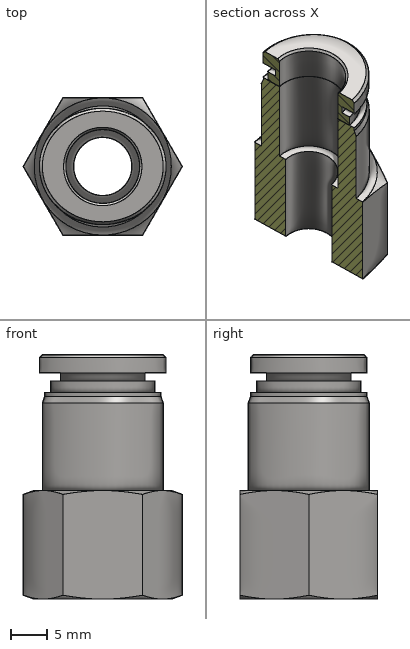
import cadquery as cq
import math

total_height = 33.7
hex_height = 15.0
housing_top = 28.5
taper_top = 27.95
taper_bottom = 27.03
flange_top = 30.1
head_height = 2.5
head_bottom = total_height - head_height

across_flats = 19.0
across_corners = across_flats / math.cos(math.radians(30))
hex_chamfer_diameter = 18.9
hex_chamfer_angle = 20.0
barrel_diameter = 16.7
lip_diameter = 16.05
tube_socket_diameter = 10.15
tube_seat_z = hex_height
through_diameter = 8.0

head_length_x = 17.45
head_length_y = 16.05
head_chamfer = 0.4
neck_diameter = 11.7
flange_diameter = 14.4
sleeve_bore_diameter = 10.2
bore_chamfer = 0.3


def cylinder(diameter, bottom, top):
    return cq.Workplane("XY").workplane(offset=bottom).circle(diameter / 2).extrude(top - bottom)


def make_hexagon():
    """Hexagonal base with conical chamfers on the corners of both ends."""
    corner_radius = across_corners / 2
    chamfer_radius = hex_chamfer_diameter / 2
    chamfer_drop = (corner_radius - chamfer_radius) * math.tan(math.radians(hex_chamfer_angle))
    prism = cq.Workplane("XY").polygon(6, across_corners).extrude(hex_height)
    double_cone = (
        cq.Workplane("XZ")
        .moveTo(0, 0)
        .lineTo(chamfer_radius, 0)
        .lineTo(corner_radius, chamfer_drop)
        .lineTo(corner_radius, hex_height - chamfer_drop)
        .lineTo(chamfer_radius, hex_height)
        .lineTo(0, hex_height)
        .close()
        .revolve(360, (0, 0, 0), (0, 1, 0))
    )
    return prism.intersect(double_cone)


def make_barrel():
    """Round barrel that tapers up to a narrower lip."""
    return (
        cq.Workplane("XZ")
        .moveTo(0, 0)
        .lineTo(barrel_diameter / 2, 0)
        .lineTo(barrel_diameter / 2, taper_bottom)
        .lineTo(lip_diameter / 2, taper_top)
        .lineTo(lip_diameter / 2, housing_top)
        .lineTo(0, housing_top)
        .close()
        .revolve(360, (0, 0, 0), (0, 1, 0))
    )


def make_housing():
    """Hexagon and barrel with a tube socket above a narrower through hole."""
    tube_socket = cylinder(tube_socket_diameter, tube_seat_z, housing_top)
    through_hole = cylinder(through_diameter, 0, housing_top)
    return make_hexagon().union(make_barrel()).cut(tube_socket).cut(through_hole)


def make_release_sleeve():
    """Oval push head on a round neck, with a flange resting on the housing."""
    head = (
        cq.Workplane("XY")
        .workplane(offset=head_bottom)
        .ellipse(head_length_x / 2, head_length_y / 2)
        .extrude(head_height)
        .faces(">Z")
        .chamfer(head_chamfer)
    )
    neck = cylinder(neck_diameter, housing_top, head_bottom)
    flange = cylinder(flange_diameter, housing_top, flange_top)
    bore = cylinder(sleeve_bore_diameter, housing_top, total_height)
    sleeve = head.union(neck).union(flange).cut(bore)
    bore_rim = cq.selectors.RadiusNthSelector(0)
    return sleeve.faces(">Z").edges(bore_rim).chamfer(bore_chamfer)


housing = make_housing()
release_sleeve = make_release_sleeve()

result = cq.Compound.makeCompound([housing.val(), release_sleeve.val()])